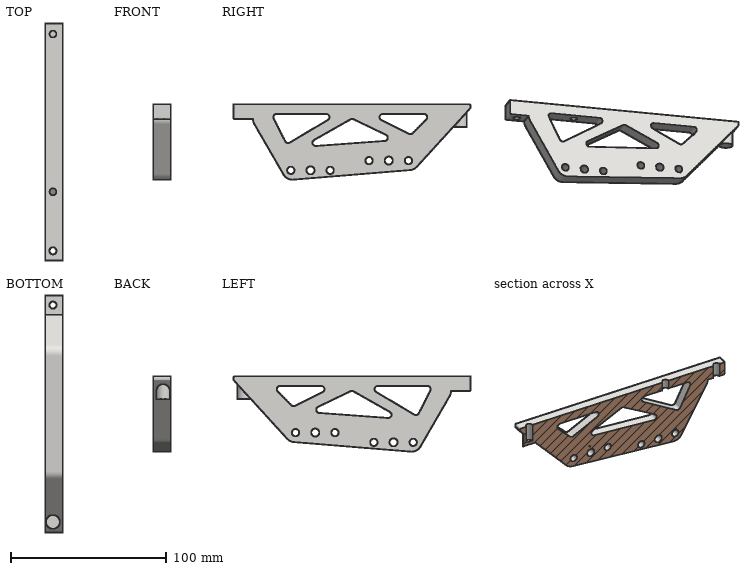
import cadquery as cq

width = 11.5
length = 152.8
rail_depth = 9.6
tip_height = 2.5
end_radius = 0.9
web_front_y = 12.5

rear_bottom = (116.5, -42.3)
front_bottom = (34.4, -49.0)
shoulder = (web_front_y, -11.3)
shoulder_radius = 6.1
outline_radius = 6.7

window_radius = 2.0
window_top = -6.4
rear_window = [(127.6, window_top), (87.7, window_top), (114.5, -19.7)]
middle_window = [(105.0, -23.1), (76.4, -9.3), (44.3, -27.5)]
front_window = [(67.1, window_top), (24.6, window_top), (34.4, -25.8)]

cross_hole_pitch = 12.7
outer_cross_hole = 4.6
centre_cross_hole = 5.0
cross_hole_rows = [(100.1, -36.4), (49.7, -42.6)]

screw_x = 5.0
screw_hole = 4.5
front_screw_y = 6.3
middle_screw_y = 44.3
rear_screw_y = 146.0
rear_screw_depth = 12.2
boss_diameter = 8.9
boss_depth = 14.8


def extrude_profile(points):
    """Closed (Y, Z) outline extruded across the full width."""
    return cq.Workplane("YZ").polyline(points).close().extrude(width)


def round_corner(body, corner, radius):
    """Round the edge along X that passes through a (Y, Z) corner."""
    edge = cq.selectors.NearestToPointSelector((width / 2, *corner))
    return body.edges("|X").edges(edge).fillet(radius)


def make_plate():
    tip_top = (length, 0)
    tip_bottom = (length, -tip_height)
    rail_bottom = (0, -rail_depth)
    plate = extrude_profile([
        (0, 0), tip_top, tip_bottom, rear_bottom, front_bottom,
        shoulder, (web_front_y, -rail_depth), rail_bottom,
    ])
    for corner in (tip_top, tip_bottom, rail_bottom):
        plate = round_corner(plate, corner, end_radius)
    plate = round_corner(plate, rear_bottom, outline_radius)
    plate = round_corner(plate, front_bottom, outline_radius)
    return round_corner(plate, shoulder, shoulder_radius)


def make_window(corners):
    return extrude_profile(corners).edges("|X").fillet(window_radius)


def vertical_cylinder(y, diameter, depth):
    return cq.Workplane("XY").center(screw_x, y).circle(diameter / 2).extrude(-depth)


def cross_hole(y, z, diameter):
    return cq.Workplane("YZ").center(y, z).circle(diameter / 2).extrude(width)


result = make_plate()
result = result.union(vertical_cylinder(rear_screw_y, boss_diameter, boss_depth))

for window in (rear_window, middle_window, front_window):
    result = result.cut(make_window(window))

for row_y, row_z in cross_hole_rows:
    result = result.cut(cross_hole(row_y, row_z, centre_cross_hole))
    for side in (-1, 1):
        result = result.cut(cross_hole(row_y + side * cross_hole_pitch, row_z, outer_cross_hole))

for screw_y, depth in (
    (front_screw_y, rail_depth),
    (middle_screw_y, rail_depth),
    (rear_screw_y, rear_screw_depth),
):
    result = result.cut(vertical_cylinder(screw_y, screw_hole, depth))